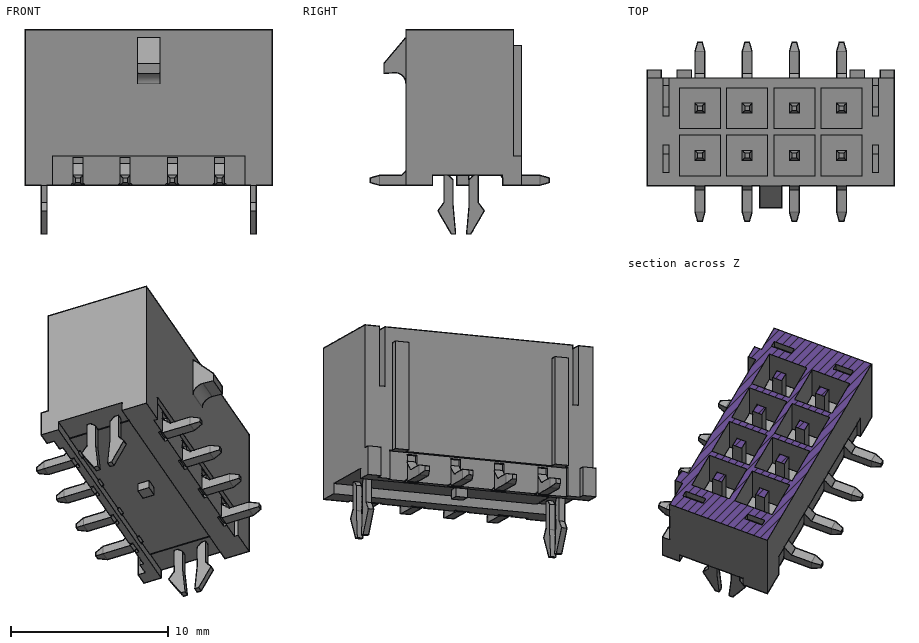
import cadquery as cq


LENGTH = 15.7
DEPTH = 6.86
HEIGHT = 9.9
WALL_Y = DEPTH / 2
END_X = LENGTH / 2
SIDES = (-1, 1)

PITCH = 3.0
COLUMNS = 4
ROWS = 2
CAVITY = 2.6
CAVITY_FLOOR = 2.9

PIN = 0.64
PIN_TIP = 0.3
PIN_TAPER = 0.6
PIN_TOP = 7.0
TAIL_END = 5.7
BEND_TOP_Y = 3.7
BEND_BOTTOM_Y = 3.2
TAIL_ROOT_Y = 2.3

COLUMN_X = [(i - (COLUMNS - 1) / 2) * PITCH for i in range(COLUMNS)]
ROW_Y = [(i - (ROWS - 1) / 2) * PITCH for i in range(ROWS)]

NOTCH_END_X = 6.13
NOTCH_HEIGHT = 1.87
NOTCH_DEPTH = 0.25
SLOT_HEIGHT = 1.76
SLOT_END_Y = 2.97
SLOT_LEAD_IN = 0.15

RECESS_FRONT_Y = -1.73
RECESS_BACK_Y = 2.72
RECESS_HEIGHT = 0.67
RECESS_MIDDLE_HEIGHT = 0.61
POST_FRONT_Y = -0.2
POST_BACK_Y = 0.58
POST_SIZE = POST_BACK_Y - POST_FRONT_Y

LATCH_WIDTH = 1.4
LATCH_REACH = 1.4
LATCH_TOP = 9.4
LATCH_NOSE_TOP = 7.74
LATCH_NOSE_BOTTOM = 7.1
LATCH_UNDERSIDE = 7.15
LATCH_FILLET = 0.68

BACK_STEP = 0.5
FOOT_WIDTH = 0.9
RIB_INNER_X = 5.03
RIB_OUTER_X = 5.96
RIB_TOP = 8.9

CLIP_X = 6.65
CLIP_THICKNESS = 0.38
CLIP_Y = 0.085
CLIP_TOP = 7.5
POCKET_FLOOR = 5.0
POCKET_FRONT_Y = -2.58
POCKET_INNER = 0.92
CLIP_ARM_OUTER = 1.48
BACK_LEDGE_Y = 2.94
BACK_LEDGE_Z = 6.0
LEG_INNER = 0.5
LEG_OUTER = 1.1
LEG_JOG = 0.32
SHOULDER_Z = -1.1
INNER_BEND_Z = -1.3
BARB_Z = -1.62
BARB_REACH = 1.48
TIP_Z = -3.1
TIP_INNER = 0.34
TIP_OUTER = 0.62


def span_box(x0, x1, y0, y1, z0, z1):
    """Box between two opposite corners."""
    size = (abs(x1 - x0), abs(y1 - y0), abs(z1 - z0))
    corner = (min(x0, x1), min(y0, y1), min(z0, z1))
    return cq.Workplane("XY").box(*size, centered=False).translate(corner)


def side_profile(points, width, x):
    """Prism with a (Y, Z) outline, centred on the given X."""
    outline = cq.Workplane("YZ").polyline(points).close()
    return outline.extrude(width / 2, both=True).translate((x, 0, 0))


def cavity(x, y):
    """Square socket open at the top."""
    half = CAVITY / 2
    return span_box(x - half, x + half, y - half, y + half, CAVITY_FLOOR, HEIGHT)


def wall_notch(side):
    """Shallow notch along the bottom of the front (-1) or back (+1) wall."""
    inner_y = side * (WALL_Y - NOTCH_DEPTH)
    return span_box(-NOTCH_END_X, NOTCH_END_X, inner_y, side * WALL_Y, 0, NOTCH_HEIGHT)


def underside_recess():
    """Channel through the underside from end to end, taller beyond the notch ends."""
    y0 = RECESS_FRONT_Y
    y1 = RECESS_BACK_Y
    recess = span_box(-END_X, END_X, y0, y1, 0, RECESS_MIDDLE_HEIGHT)
    for side in SIDES:
        recess = recess.union(span_box(side * NOTCH_END_X, side * END_X, y0, y1, 0, RECESS_HEIGHT))
    return recess


def standing_post():
    """Square post from the recess roof down to the mounting plane."""
    half = POST_SIZE / 2
    return span_box(-half, half, POST_FRONT_Y, POST_BACK_Y, 0, RECESS_HEIGHT)


def back_foot_and_rib(side):
    """Foot at one end of the back wall, and the upright rib beside it."""
    back_y = WALL_Y + BACK_STEP
    foot_x = side * (END_X - FOOT_WIDTH)
    foot = span_box(foot_x, side * END_X, WALL_Y, back_y, 0, NOTCH_HEIGHT)
    rib_x = (side * RIB_INNER_X, side * RIB_OUTER_X)
    rib = span_box(*rib_x, WALL_Y, back_y, NOTCH_HEIGHT, RIB_TOP)
    return foot, rib


def latch():
    """Ramp on the front wall, hollowed underneath where it meets the wall."""
    nose_y = -WALL_Y - LATCH_REACH
    fillet_z = LATCH_UNDERSIDE - LATCH_FILLET
    outline = (
        cq.Workplane("YZ")
        .moveTo(-WALL_Y, fillet_z)
        .lineTo(-WALL_Y, LATCH_TOP)
        .lineTo(nose_y, LATCH_NOSE_TOP)
        .lineTo(nose_y, LATCH_NOSE_BOTTOM)
        .lineTo(-WALL_Y - LATCH_FILLET, LATCH_UNDERSIDE)
        .radiusArc((-WALL_Y, fillet_z), LATCH_FILLET)
        .close()
    )
    return outline.extrude(LATCH_WIDTH / 2, both=True)


def tapered_tip():
    """Square pyramid frustum pointing up from Z = 0."""
    return (
        cq.Workplane("XY")
        .rect(PIN, PIN)
        .workplane(offset=PIN_TAPER)
        .rect(PIN_TIP, PIN_TIP)
        .loft()
    )


def contact_post(x, y):
    """Vertical contact standing in a cavity."""
    half = PIN / 2
    shaft_top = PIN_TOP - PIN_TAPER
    shaft = span_box(x - half, x + half, y - half, y + half, CAVITY_FLOOR, shaft_top)
    return shaft.union(tapered_tip().translate((x, y, shaft_top)))


def solder_tail(x, side):
    """Tail leaving the slot at 45 degrees, then running flat; side is -1 (front) or +1 (back)."""
    taper_start = TAIL_END - PIN_TAPER
    slope_top = PIN + BEND_TOP_Y - TAIL_ROOT_Y
    slope_bottom = BEND_BOTTOM_Y - TAIL_ROOT_Y
    points = [
        (side * taper_start, 0),
        (side * taper_start, PIN),
        (side * BEND_TOP_Y, PIN),
        (side * TAIL_ROOT_Y, slope_top),
        (side * TAIL_ROOT_Y, slope_bottom),
        (side * BEND_BOTTOM_Y, 0),
    ]
    tip = tapered_tip().rotate((0, 0, 0), (1, 0, 0), -90 * side)
    tip = tip.translate((x, side * taper_start, PIN / 2))
    return side_profile(points, PIN, x).union(tip)


def tail_slot(x, side):
    """Slot behind the notch, one contact wide, flared at its bottom edge."""
    half = PIN / 2
    flare = half + SLOT_LEAD_IN
    depth = WALL_Y - SLOT_END_Y
    outline = (
        cq.Workplane("XZ")
        .polyline(
            [
                (x - flare, 0),
                (x - half, SLOT_LEAD_IN),
                (x - half, SLOT_HEIGHT),
                (x + half, SLOT_HEIGHT),
                (x + half, SLOT_LEAD_IN),
                (x + flare, 0),
            ]
        )
        .close()
        .extrude(depth / 2, both=True)
    )
    return outline.translate((0, side * (WALL_Y - depth / 2), 0))


def clip_pockets(x):
    """Two pockets open at the top; the back one also opens through the back wall."""
    x0 = x - CLIP_THICKNESS / 2
    x1 = x + CLIP_THICKNESS / 2
    front = span_box(x0, x1, POCKET_FRONT_Y, CLIP_Y - POCKET_INNER, POCKET_FLOOR, HEIGHT)
    back = span_box(x0, x1, CLIP_Y + POCKET_INNER, BACK_LEDGE_Y, POCKET_FLOOR, HEIGHT)
    ledge = span_box(x0, x1, BACK_LEDGE_Y, WALL_Y, BACK_LEDGE_Z, HEIGHT)
    return front.union(back).union(ledge)


def clip_half(x, side):
    """One leg of a board clip with its barb, and the arm standing in the pocket above."""
    leg = [
        (LEG_OUTER, RECESS_HEIGHT),
        (LEG_OUTER, SHOULDER_Z),
        (BARB_REACH, BARB_Z),
        (TIP_OUTER, TIP_Z),
        (TIP_INNER, TIP_Z),
        (LEG_INNER, INNER_BEND_Z),
        (LEG_INNER, RECESS_HEIGHT - LEG_JOG),
        (LEG_INNER + LEG_JOG, RECESS_HEIGHT),
    ]
    arm = [
        (POCKET_INNER, POCKET_FLOOR),
        (CLIP_ARM_OUTER, POCKET_FLOOR),
        (CLIP_ARM_OUTER, CLIP_TOP),
        (POCKET_INNER, CLIP_TOP),
    ]

    def placed(points):
        return [(CLIP_Y + side * y, z) for y, z in points]

    lower = side_profile(placed(leg), CLIP_THICKNESS, x)
    return lower.union(side_profile(placed(arm), CLIP_THICKNESS, x))


def housing():
    """Housing with all its openings, before the metal parts are added."""
    body = span_box(-END_X, END_X, -WALL_Y, WALL_Y, 0, HEIGHT)
    for x in COLUMN_X:
        for y in ROW_Y:
            body = body.cut(cavity(x, y))
    body = body.cut(underside_recess())
    for side in SIDES:
        body = body.cut(wall_notch(side))
        for x in COLUMN_X:
            body = body.cut(tail_slot(x, side))
        body = body.cut(clip_pockets(side * CLIP_X))
        foot, rib = back_foot_and_rib(side)
        body = body.union(foot).union(rib)
    return body.union(standing_post()).union(latch())


def add_contacts(body):
    for x in COLUMN_X:
        for y in ROW_Y:
            body = body.union(contact_post(x, y))
        for side in SIDES:
            body = body.union(solder_tail(x, side))
    return body


def add_clips(body):
    for x in (-CLIP_X, CLIP_X):
        for side in SIDES:
            body = body.union(clip_half(x, side))
    return body


result = add_clips(add_contacts(housing()))